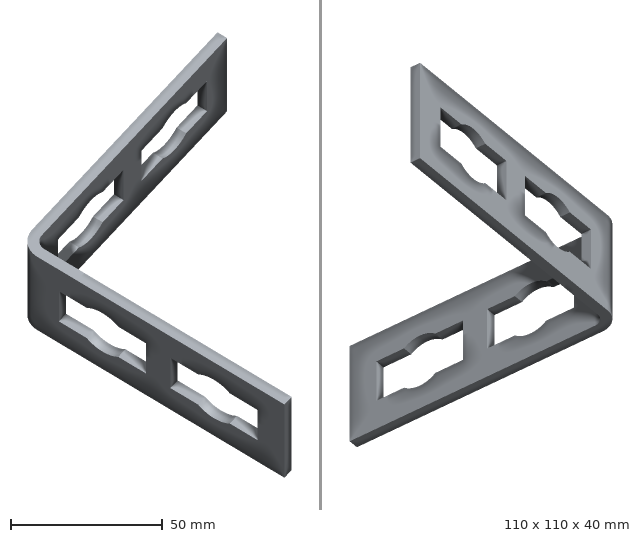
import cadquery as cq

leg_length = 110.0
width = 40.0
thickness = 4.0
outer_bend_radius = 8.0
inner_bend_radius = outer_bend_radius - thickness

slot_length = 36.0
slot_height = 16.5
hole_diameter = 21.0
first_opening = 35.0
opening_pitch = 46.0
openings_per_leg = 2


def make_bent_plate():
    """L-shaped plate with its outer corner at the origin and legs along +X and +Y."""
    outer_angle = (
        cq.Workplane("XY")
        .rect(leg_length, leg_length, centered=False)
        .extrude(width)
        .edges("|Z and <X and <Y")
        .fillet(outer_bend_radius)
    )
    inner_space = (
        cq.Workplane("XY")
        .center(thickness, thickness)
        .rect(leg_length, leg_length, centered=False)
        .extrude(width)
        .edges("|Z and <X and <Y")
        .fillet(inner_bend_radius)
    )
    return outer_angle.cut(inner_space)


def make_opening_cutters(leg_face):
    """Cutters through one leg, on a plane whose local x runs along that leg."""
    mid_height = width / 2
    centers = [(first_opening + i * opening_pitch, mid_height) for i in range(openings_per_leg)]
    slots = leg_face.pushPoints(centers).rect(slot_length, slot_height).extrude(thickness, both=True)
    holes = leg_face.pushPoints(centers).circle(hole_diameter / 2).extrude(thickness, both=True)
    return slots.union(holes)


result = make_bent_plate()
for plane_name in ("XZ", "YZ"):
    result = result.cut(make_opening_cutters(cq.Workplane(plane_name)))